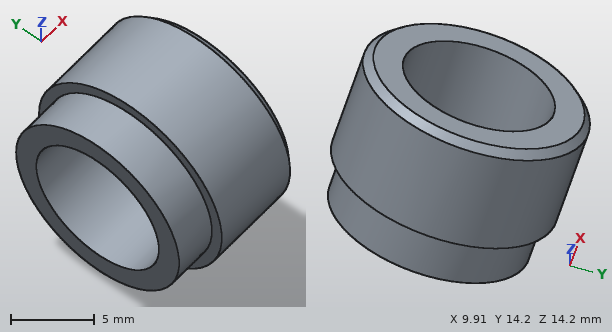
import cadquery as cq

total_length = 9.91
spigot_length = 3.05
spigot_diameter = 12.68
body_diameter = 14.22
bore_diameter = 9.53
chamfer_size = 0.5

body_length = total_length - spigot_length


def make_spigot():
    """Reduced-diameter end of the bushing."""
    return cq.Workplane("YZ").circle(spigot_diameter / 2).extrude(spigot_length)


def make_body():
    """Full-diameter body with its far outer edge chamfered."""
    body = cq.Workplane("YZ", origin=(spigot_length, 0, 0)).circle(body_diameter / 2).extrude(body_length)
    return body.faces(">X").edges().chamfer(chamfer_size)


def make_bore():
    """Plain bore through the full length."""
    return cq.Workplane("YZ").circle(bore_diameter / 2).extrude(total_length)


result = make_spigot().union(make_body()).cut(make_bore())